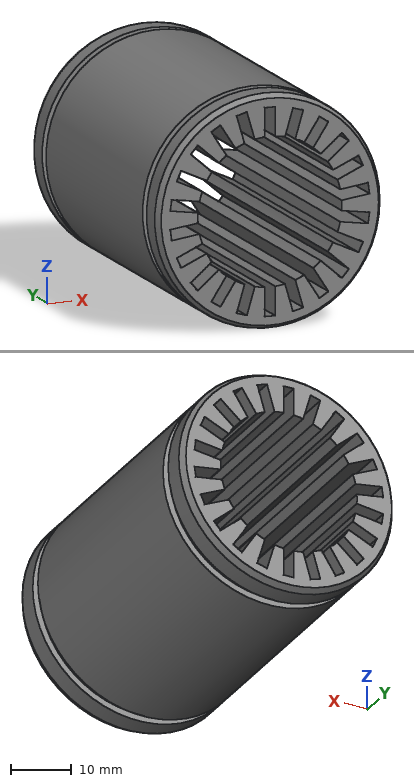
import cadquery as cq

LENGTH = 57.15
OUTER_DIAMETER = 39.65
BORE_DIAMETER = 25.4

CHAMFER_AXIAL = 1.2
CHAMFER_RADIAL = 0.7

GROOVE_OFFSET = 4.9
GROOVE_WIDTH = 1.8
GROOVE_DEPTH = 1.2

SLOT_COUNT = 22
SLOT_WIDTH = 1.9
SLOT_OUTER_RADIUS = 17.6

OUTER_RADIUS = OUTER_DIAMETER / 2
HALF_LENGTH = LENGTH / 2


def cross_section(y_position=HALF_LENGTH):
    """Workplane across the axis; its positive extrusions run toward -Y."""
    return cq.Workplane("XZ", origin=(0, y_position, 0))


def make_body():
    """Revolve a chamfered cylinder about the Y axis."""
    end_radius = OUTER_RADIUS - CHAMFER_RADIAL
    shoulder = HALF_LENGTH - CHAMFER_AXIAL
    return (
        cq.Workplane("XY")
        .moveTo(0, -HALF_LENGTH)
        .lineTo(end_radius, -HALF_LENGTH)
        .lineTo(OUTER_RADIUS, -shoulder)
        .lineTo(OUTER_RADIUS, shoulder)
        .lineTo(end_radius, HALF_LENGTH)
        .lineTo(0, HALF_LENGTH)
        .close()
        .revolve(360, (0, 0), (0, 1))
    )


def make_groove(y_face):
    """Ring that fills one groove, extending toward -Y from y_face."""
    return (
        cross_section(y_face)
        .circle(OUTER_RADIUS)
        .circle(OUTER_RADIUS - GROOVE_DEPTH)
        .extrude(GROOVE_WIDTH)
    )


def make_bore():
    return cross_section().circle(BORE_DIAMETER / 2).extrude(LENGTH)


def make_slots():
    """Flat-ended bars from the axis outward; the first one points along +Z."""
    bar = cross_section().rect(SLOT_WIDTH, SLOT_OUTER_RADIUS).extrude(LENGTH)
    bar = bar.translate((0, 0, SLOT_OUTER_RADIUS / 2))
    slots = cq.Workplane("XY")
    for index in range(SLOT_COUNT):
        angle = index * 360 / SLOT_COUNT
        slots = slots.union(bar.rotate((0, 0, 0), (0, 1, 0), angle))
    return slots


groove_start = HALF_LENGTH - GROOVE_OFFSET
result = make_body()
for y_face in (groove_start, GROOVE_WIDTH - groove_start):
    result = result.cut(make_groove(y_face))
result = result.cut(make_bore()).cut(make_slots())